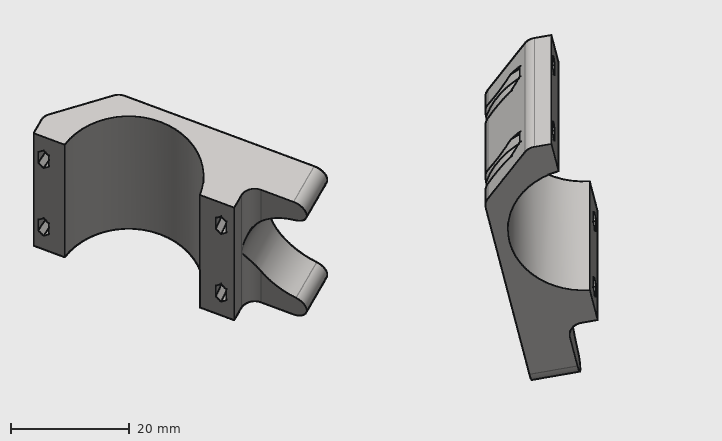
import cadquery as cq
import math

length = 48.35
depth = 13.65
height = 31.75

saddle_x = 18.4
saddle_y = -1.5
saddle_radius = 12.65

bevel_start_y = 4.0
bevel_size = depth - bevel_start_y
pad_end_x = 37.35
lug_front_y = 5.3
edge_radius = 2.5

tip_radius = 2.5
tip_x = length - tip_radius
tip_z = height / 2 - tip_radius
tip_reach = tip_x - pad_end_x
tangent_sum = tip_reach + tip_radius
mouth_offset = (tip_z**2 - tangent_sum**2) / (2 * tangent_sum)
mouth_x = tip_x + mouth_offset
mouth_radius = mouth_x - pad_end_x

channel_inner_radius = 15.55
channel_outer_radius = 17.5
channel_z = 9.55
channel_flat_height = 3.0
channel_full_height = 5.0


def make_body():
    """Extruded bracket profile with rounded bevel ends and lug corner."""
    profile = [
        (0, 0),
        (pad_end_x, 0),
        (pad_end_x, lug_front_y),
        (length, lug_front_y),
        (length, depth),
        (bevel_size, depth),
        (0, bevel_start_y),
    ]
    rounded_corners = [(pad_end_x, lug_front_y), (bevel_size, depth), (0, bevel_start_y)]
    body = cq.Workplane("XY").polyline(profile).close().extrude(height / 2, both=True)
    for x, y in rounded_corners:
        corner_edge = cq.selectors.NearestToPointSelector((x, y, 0))
        body = body.edges("|Z").edges(corner_edge).fillet(edge_radius)
    saddle = (
        cq.Workplane("XY")
        .center(saddle_x, saddle_y)
        .circle(saddle_radius)
        .extrude(height / 2, both=True)
    )
    return body.cut(saddle)


def make_fork_outline():
    """Side silhouette in XZ, extruded through the full depth."""
    centre_distance = math.hypot(mouth_offset, tip_z)
    toward_x = mouth_offset / centre_distance
    toward_z = -tip_z / centre_distance
    blend_x = tip_x + tip_radius * toward_x
    blend_z = tip_z + tip_radius * toward_z
    return (
        cq.Workplane("XZ")
        .moveTo(0, -height / 2)
        .lineTo(tip_x, -height / 2)
        .threePointArc((length, -tip_z), (blend_x, -blend_z))
        .threePointArc((mouth_x - mouth_radius, 0), (blend_x, blend_z))
        .threePointArc((length, tip_z), (tip_x, height / 2))
        .lineTo(0, height / 2)
        .close()
        .extrude(-depth)
    )


def make_strap_channel(z):
    """Ring with a pointed hexagonal section, centred on the pad face plane."""
    middle_radius = (channel_inner_radius + channel_outer_radius) / 2
    flat = channel_flat_height / 2
    peak = channel_full_height / 2
    section = [
        (channel_inner_radius, -flat),
        (middle_radius, -peak),
        (channel_outer_radius, -flat),
        (channel_outer_radius, flat),
        (middle_radius, peak),
        (channel_inner_radius, flat),
    ]
    ring = cq.Workplane("XZ").polyline(section).close().revolve(360, (0, 0, 0), (0, 1, 0))
    return ring.translate((saddle_x, 0, z))


result = make_body().intersect(make_fork_outline())
for side in (-1, 1):
    result = result.cut(make_strap_channel(side * channel_z))